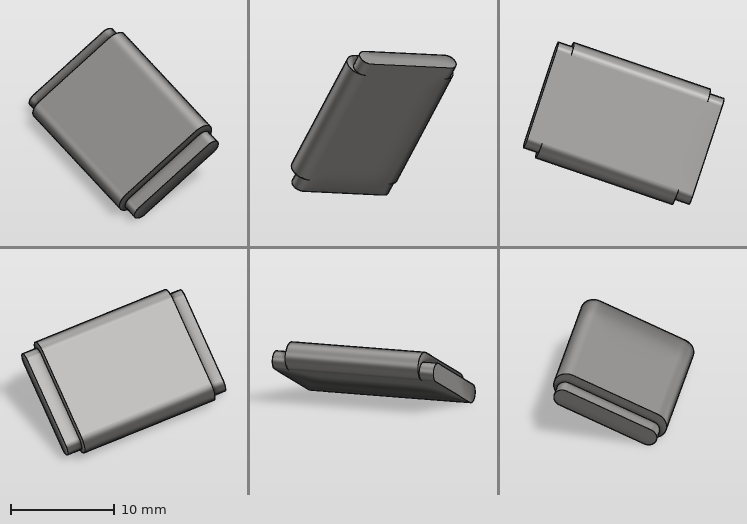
import cadquery as cq
import math

overall_length = 17.0
end_length = 1.5
tilt = 22.5
center_spacing = 9.03
body_radius = 1.4
end_radius = 0.9

body_length = overall_length - 2 * end_length
end_drop = body_radius - end_radius
end_center_y = end_drop * math.sin(math.radians(tilt))
end_center_z = -end_drop * math.cos(math.radians(tilt))


def tilted_slab(length, radius, center_y=0, center_z=0):
    """Round-edged slab centered along X, tilted about the X axis."""
    return (
        cq.Workplane("YZ")
        .center(center_y, center_z)
        .slot2D(center_spacing + 2 * radius, 2 * radius, tilt)
        .extrude(length / 2, both=True)
    )


body = tilted_slab(body_length, body_radius)
ends = tilted_slab(overall_length, end_radius, end_center_y, end_center_z)

result = body.union(ends)